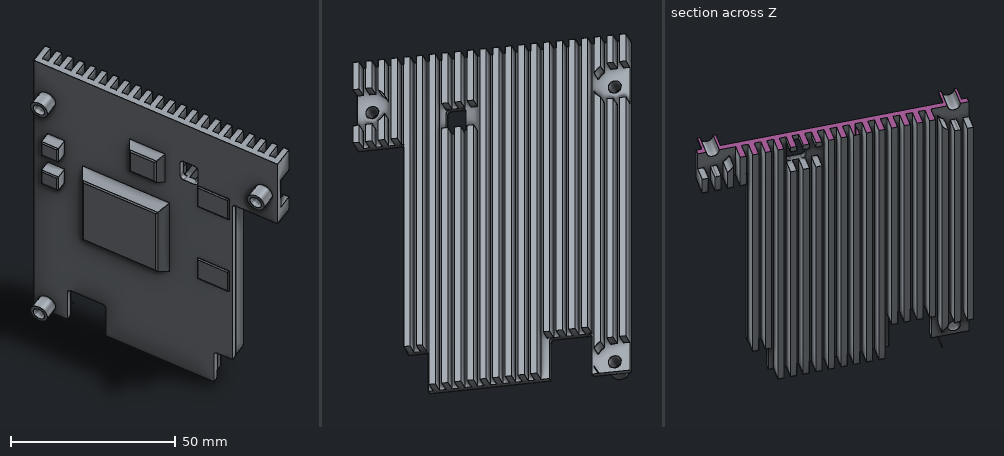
import cadquery as cq
import math

width = 86.0
height = 110.0
base_thickness = 2.0
fin_height = 5.0
total_thickness = base_thickness + fin_height

body_right = 70.2
upper_arm_bottom = 83.2
connector_right = 63.6
connector_top = 13.5
notch_left = 12.0
notch_right = 25.4
connector_corner_radius = 1.3
arm_corner_radius = 1.0

fin_width = 2.0
fin_pitch = 4.0
gap_width = fin_pitch - fin_width
gap_count = round((width - fin_width) / fin_pitch)

boss_inset = 4.8
upper_boss_z = 94.9
lower_boss_z = 3.3
boss_points = [
    (boss_inset, upper_boss_z),
    (width - boss_inset, upper_boss_z),
    (boss_inset, lower_boss_z),
]
boss_diameter = 6.0
boss_height = 5.0
boss_hole_diameter = 4.0
screw_clearance_diameter = 12.0

window_center = (54.8, 89.1)
window_width = 6.2
window_height = 8.2
window_corner_radius = 1.3

rim_bevel = 0.4
side_slope = 30.0

processor_center = (32.6, 56.55)
processor_size = 30.7
processor_height = 3.9

controller_center = (40.1, 86.75)
controller_size = 12.6
controller_height = 3.0

regulator_centers = [(8.0, 76.75), (8.0, 64.0)]
regulator_size = 6.0
regulator_height = 4.2

memory_centers = [(63.4, 80.5), (63.4, 48.2)]
memory_width = 11.2
memory_length = 9.2
memory_height = 0.5


def front_plane(depth):
    """Sketch plane facing -Y, with local axes X and Z, `depth` in front of the plate."""
    return cq.Workplane("XZ", origin=(0, -depth, 0))


def make_plate():
    outline = [
        (0, 0),
        (notch_left, 0),
        (notch_left, connector_top),
        (notch_right, connector_top),
        (notch_right, 0),
        (connector_right, 0),
        (connector_right, connector_top),
        (body_right, connector_top),
        (body_right, upper_arm_bottom),
        (width, upper_arm_bottom),
        (width, height),
        (0, height),
    ]
    plate = front_plane(0).polyline(outline).close().extrude(-total_thickness)
    rounded_corners = [
        (notch_left, connector_top, connector_corner_radius),
        (notch_right, connector_top, connector_corner_radius),
        (connector_right, connector_top, connector_corner_radius),
        (body_right, upper_arm_bottom, arm_corner_radius),
    ]
    for x, z, radius in rounded_corners:
        corner = cq.selectors.NearestToPointSelector((x, total_thickness / 2, z))
        plate = plate.edges("|Y").edges(corner).fillet(radius)
    return plate


def make_fin_gaps():
    gap_centers = [(fin_width + gap_width / 2 + i * fin_pitch, height / 2) for i in range(gap_count)]
    return front_plane(-base_thickness).pushPoints(gap_centers).rect(gap_width, height).extrude(-fin_height)


def make_screw_clearance(x, z):
    """Round-ended slot through the fins, open towards the nearer side edge."""
    side_edge = 0 if x < width / 2 else width
    fins_face = front_plane(-base_thickness)
    round_end = fins_face.center(x, z).circle(screw_clearance_diameter / 2).extrude(-fin_height)
    straight_part = (
        fins_face.center((x + side_edge) / 2, z)
        .rect(abs(x - side_edge), screw_clearance_diameter)
        .extrude(-fin_height)
    )
    return round_end.union(straight_part)


def make_fin_clearance(opening_left, opening_right, bottom, top):
    """Block over an opening, widened to whole fins so that no thin slivers of fin remain."""
    left = math.floor(opening_left / fin_pitch) * fin_pitch
    right = math.floor(opening_right / fin_pitch) * fin_pitch + fin_width
    center = ((left + right) / 2, (bottom + top) / 2)
    block = front_plane(-base_thickness).center(*center).rect(right - left, top - bottom)
    return block.extrude(-fin_height)


def make_window():
    block = front_plane(0).center(*window_center).rect(window_width, window_height)
    return block.extrude(-total_thickness).edges("|Y").fillet(window_corner_radius)


def make_bosses():
    return front_plane(0).pushPoints(boss_points).circle(boss_diameter / 2).extrude(boss_height)


def make_boss_holes():
    circles = front_plane(boss_height).pushPoints(boss_points).circle(boss_hole_diameter / 2)
    return circles.extrude(-(boss_height + base_thickness))


def make_pad(center, size_x, size_z, pad_height, slope=0):
    block = front_plane(0).center(*center).rect(size_x, size_z).extrude(pad_height, taper=slope)
    return block.faces("<Y").chamfer(rim_bevel)


result = make_plate()
result = result.cut(make_fin_gaps())
for boss_x, boss_z in boss_points:
    result = result.cut(make_screw_clearance(boss_x, boss_z))

result = result.cut(make_window())
result = result.cut(
    make_fin_clearance(
        window_center[0] - window_width / 2,
        window_center[0] + window_width / 2,
        window_center[1] - window_height / 2,
        window_center[1] + window_height / 2,
    )
)
result = result.cut(make_fin_clearance(notch_left, notch_right, 0, connector_top))

result = result.union(make_bosses())
result = result.cut(make_boss_holes())

result = result.union(
    make_pad(processor_center, processor_size, processor_size, processor_height, side_slope)
)
result = result.union(
    make_pad(controller_center, controller_size, controller_size, controller_height, side_slope)
)
for regulator_center in regulator_centers:
    result = result.union(make_pad(regulator_center, regulator_size, regulator_size, regulator_height))
for memory_center in memory_centers:
    result = result.union(make_pad(memory_center, memory_width, memory_length, memory_height))